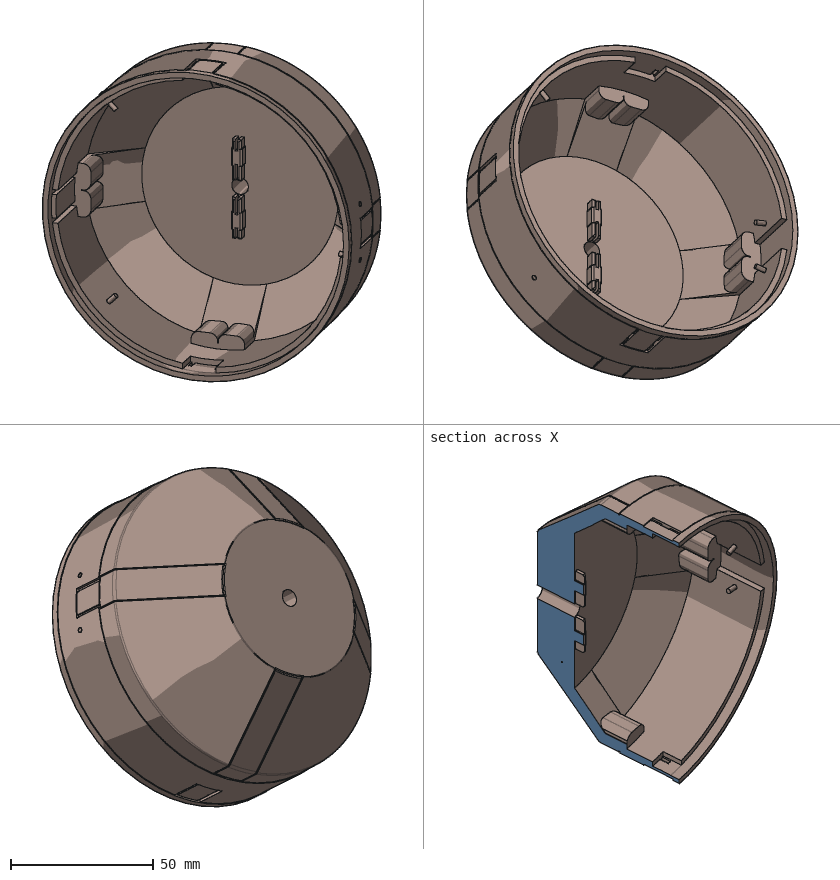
import math

import cadquery as cq


total_height = 62.5
rim_radius = 57.4
rim_height = 2.9
body_radius = 57.1
body_top = 26.3
band_radius = 56.8
cone_base = 35.2
cap_radius = 29.2
shoulder_fillet = 1.0
cap_fillet = 0.4

mouth_radius = 55.3
mouth_depth = 3.7
bore_radius = 53.2
inner_cone_base = 33.1
floor_radius = 36.8
floor_height = 46.0

overlap = 1.0

side_count = 4
panel_half_width = 6.2
panel_gap = 0.35
panel_gap_depth = 0.4
panel_shoulder_fillet = 2.0
rib_half_width = 10.0
rib_base = 30.5

post_face = 23.0
post_inner = 47.5
post_lobe_radius = 3.0
post_slit_width = 0.3
post_slit_depth = 3.5

notch_half_width = 6.2
window_half_width = 5.6
tongue_half_width = 4.4
tongue_depth = 0.4
window_length = 12.8
slot_depth = 1.0
slot_open_start = 5.2
low_window_start = rim_height
low_notch_end = 11.7
high_window_start = 13.5
high_notch_end = post_face
high_catch_radius = 53.6

pin_diameter = 1.8
pin_height = 14.7
pin_inner = 49.3
pin_outer = 57.3
pin_angles = (10.5, -10.5, 135.4, -135.4)

hole_diameter = 6.2
ridge_height = 4.0
ridge_start = 3.2
ridge_end = 18.5
ridge_half_width = 1.7
ridge_wide_start = 8.7
ridge_wide_end = 15.1
ridge_wide_half_width = 2.05
ridge_chamfer = 0.7
ridge_slit_half_width = 0.5
ridge_slit_overlap = 0.7


def turned(points):
    """Revolve an (r, y) outline about the Y axis."""
    return cq.Workplane("XY").polyline(points).close().revolve(360, (0, 0, 0), (0, 1, 0))


def block(x_range, y_range, z_range):
    """Axis-aligned box spanning the three given ranges."""
    sizes = [high - low for low, high in (x_range, y_range, z_range)]
    corner = (x_range[0], y_range[0], z_range[0])
    return cq.Workplane("XY").box(*sizes, centered=False).translate(corner)


def turned_to(shape, angle):
    """Turn a feature built on the +X side about the Y axis."""
    return shape.rotate((0, 0, 0), (0, 1, 0), angle)


def ring_piece(inner, outer, y_range, z_range):
    """Piece of a ring on the +X side, limited in Y and Z."""
    low, high = y_range
    ring = turned([(inner, low), (outer, low), (outer, high), (inner, high)])
    return ring.intersect(block((0, rim_radius), y_range, z_range))


def make_upper_shell(fillet):
    """Band and cone above the body, with the given rounding where they meet."""
    upper = turned(
        [
            (0, body_top),
            (band_radius, body_top),
            (band_radius, cone_base),
            (cap_radius, total_height),
            (0, total_height),
        ]
    )
    upper = upper.faces(">Y").edges().fillet(cap_fillet)
    circles = upper.edges("%CIRCLE").vals()
    shoulder_edges = [edge for edge in circles if math.isclose(edge.Center().y, cone_base)]
    return upper.newObject(shoulder_edges).fillet(fillet)


def make_lower_shell():
    return turned(
        [
            (0, 0),
            (rim_radius, 0),
            (rim_radius, rim_height),
            (body_radius, rim_height),
            (body_radius, body_top),
            (0, body_top),
        ]
    )


def make_cavity():
    return turned(
        [
            (0, 0),
            (mouth_radius, 0),
            (mouth_radius, mouth_depth),
            (bore_radius, mouth_depth),
            (bore_radius, inner_cone_base),
            (floor_radius, floor_height),
            (0, floor_height),
        ]
    )


def make_panel_recess():
    """Shallow recess down the band and cone, deep enough for the gap around the panel."""
    recess_radius = band_radius - panel_gap_depth
    cone_angle = math.atan2(total_height - cone_base, band_radius - cap_radius)
    recess_bend = cone_base - panel_gap_depth * math.tan(cone_angle / 2)
    recess_tip = cap_radius - panel_gap_depth / math.sin(cone_angle)
    recess = turned(
        [
            (recess_radius, body_top),
            (rim_radius, body_top),
            (rim_radius, total_height),
            (recess_tip, total_height),
            (recess_radius, recess_bend),
        ]
    )
    limits = block((0, rim_radius), (body_top, total_height), (-panel_half_width, panel_half_width))
    return recess.intersect(limits)


def make_panel(recess):
    """Softer-shouldered panel filling the recess up to a narrow gap."""
    half_width = panel_half_width - panel_gap
    y_range = (body_top + panel_gap, total_height - panel_gap)
    limits = block((0, rim_radius), y_range, (-half_width, half_width))
    return make_upper_shell(panel_shoulder_fillet).intersect(recess).intersect(limits)


def make_rib():
    """Wedge that thickens the inner cone, fading out at the floor."""
    rib = turned([(bore_radius, rib_base), (bore_radius, inner_cone_base), (floor_radius, floor_height)])
    limits = block((0, rim_radius), (0, total_height), (-rib_half_width, rib_half_width))
    return rib.intersect(limits)


def make_post():
    """Pair of rounded lobes with a slit between, running from the post face back into the cone."""
    lobe_width = rib_half_width
    outer = bore_radius + overlap
    back = floor_height
    post = None
    for lobe_start in (-lobe_width, 0):
        lobe = block((post_inner, outer), (post_face, back), (lobe_start, lobe_start + lobe_width))
        lobe = lobe.faces("<X").edges("|Y").fillet(post_lobe_radius)
        post = lobe if post is None else post.union(lobe)
    slit_half = post_slit_width / 2
    slit = block((post_inner, post_inner + post_slit_depth), (post_face, back), (-slit_half, slit_half))
    lip_middle = (bore_radius + mouth_radius) / 2
    wall_slope = (bore_radius - floor_radius) / (floor_height - inner_cone_base)
    limits = turned(
        [
            (0, post_face),
            (lip_middle, post_face),
            (lip_middle, inner_cone_base),
            (lip_middle - wall_slope * (back - inner_cone_base), back),
            (0, back),
        ]
    )
    return post.cut(slit).intersect(limits)


def make_notch(end):
    """Notch through the inner lip from its ledge up to the given height."""
    z_range = (-notch_half_width, notch_half_width)
    return ring_piece(bore_radius - overlap, mouth_radius, (mouth_depth, end), z_range)


def make_snap_window(start, notch_end, is_open):
    """Sunken tongue between two deeper slots, which may break through into the notch."""
    y_range = (start, start + window_length)
    z_range = (-window_half_width, window_half_width)
    window = ring_piece(body_radius - tongue_depth, rim_radius, y_range, z_range)
    for slot_range in ((-window_half_width, -tongue_half_width), (tongue_half_width, window_half_width)):
        window = window.union(ring_piece(body_radius - slot_depth, rim_radius, y_range, slot_range))
        if is_open:
            open_range = (start + slot_open_start, notch_end)
            window = window.union(ring_piece(bore_radius, rim_radius, open_range, slot_range))
    return window


def make_catch():
    """Block left standing in a notch behind its tongue."""
    y_range = (mouth_depth, high_notch_end)
    return ring_piece(high_catch_radius, mouth_radius, y_range, (-tongue_half_width, tongue_half_width))


def make_pin(angle):
    pin = cq.Workplane("YZ").circle(pin_diameter / 2).extrude(pin_outer - pin_inner)
    return turned_to(pin.translate((pin_inner, pin_height, 0)), angle)


def make_ridge():
    """Chamfered ridge standing on the floor along +Z, wider in the middle."""
    y_range = (floor_height - ridge_height, floor_height)
    narrow = block((-ridge_half_width, ridge_half_width), y_range, (ridge_start, ridge_end))
    wide = block(
        (-ridge_wide_half_width, ridge_wide_half_width), y_range, (ridge_wide_start, ridge_wide_end)
    )
    narrow = narrow.faces("<Y").edges().chamfer(ridge_chamfer)
    wide = wide.faces("<Y").edges("|Z").chamfer(ridge_chamfer)
    ridge = narrow.union(wide)
    x_range = (-ridge_slit_half_width, ridge_slit_half_width)
    for z_range in (
        (ridge_start, ridge_wide_start + ridge_slit_overlap),
        (ridge_wide_end - ridge_slit_overlap, ridge_end),
    ):
        ridge = ridge.cut(block(x_range, y_range, z_range))
    return ridge


result = make_lower_shell().union(make_upper_shell(shoulder_fillet)).cut(make_cavity())

panel_recess = make_panel_recess()
panel = make_panel(panel_recess)
for side in range(side_count):
    angle = side * 360 / side_count
    result = result.cut(turned_to(panel_recess, angle))
    result = result.union(turned_to(panel, angle))
    result = result.union(turned_to(make_rib(), angle))
    result = result.union(turned_to(make_post(), angle))

for angle, is_open in ((0, False), (180, True)):
    notch = make_notch(high_notch_end)
    if is_open:
        notch = notch.cut(make_catch())
    window = make_snap_window(high_window_start, high_notch_end, is_open)
    result = result.cut(turned_to(notch.union(window), angle))

for angle in (90, 270):
    window = make_snap_window(low_window_start, low_notch_end, True)
    result = result.cut(turned_to(make_notch(low_notch_end).union(window), angle))

for angle in pin_angles:
    result = result.union(make_pin(angle))

for angle in (0, 180):
    result = result.union(turned_to(make_ridge(), angle))

hole = cq.Workplane("XZ").circle(hole_diameter / 2).extrude(-total_height)
result = result.cut(hole)